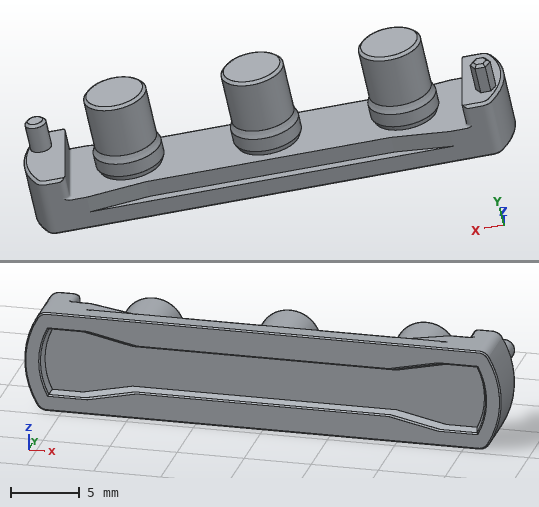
import cadquery as cq
import math

length = 35.52
height = 7.65
end_radius = 6.7
corner_radius = 0.85
edge_chamfer = 0.1
web_depth = 2.55

ear_depth = 4.37
ear_inner_x = 14.67
ear_corner_radius = 0.5
ear_chamfer = 0.2
ear_foot_fillet = 0.2

pocket_margin = 1.05
pocket_end_height = 5.33
pocket_waist_height = 3.73
pocket_waist_x = 9.38
pocket_flare_x = 13.07
pocket_depth = 0.65
pocket_rim_bevel = 0.1
pocket_wall_inset = 0.32
pocket_bend_lean = 0.45

relief_depth = 0.7
relief_front_y = 1.3
relief_outer_x = 13.43
relief_inner_x = 9.05

post_pitch = 10.15
post_top_y = 8.63
post_radius = 2.3
post_tip_chamfer = 0.2
collar_radius = 2.52
collar_start_y = 3.0
collar_end_y = 4.0
collar_shoulder_radius = 2.4
collar_shoulder_y = 4.25
collar_taper_end_y = 4.58

pin_top_y = 6.6
pin_x = 16.45
pin_z = 1.55
pin_radius = 0.78
hex_pin_radius = 0.75
pin_tip_chamfer = 0.2


def arc_sagitta(radius, half_chord):
    return radius - math.sqrt(radius**2 - half_chord**2)


def front_plane(y):
    """Sketch plane at depth y; a negative extrude runs towards +Y."""
    return cq.Workplane("XZ", origin=(0, y, 0))


def bar(depth):
    half_height = height / 2
    corner_x = length / 2 - arc_sagitta(end_radius, half_height)
    return (
        front_plane(0)
        .moveTo(-corner_x, half_height)
        .lineTo(corner_x, half_height)
        .threePointArc((length / 2, 0), (corner_x, -half_height))
        .lineTo(-corner_x, -half_height)
        .threePointArc((-length / 2, 0), (-corner_x, half_height))
        .close()
        .extrude(-depth)
        .edges("|Y")
        .fillet(corner_radius)
    )


def ear_block(side):
    """Block with rounded inner edges; its outer end reaches past the bar."""
    block_width = length / 2
    return (
        front_plane(0)
        .center(side * (ear_inner_x + block_width / 2), 0)
        .rect(block_width, height)
        .extrude(-ear_depth)
        .edges("|Y")
        .edges("<X" if side > 0 else ">X")
        .fillet(ear_corner_radius)
    )


def ear_foot_edges(side):
    reach = 2 * ear_corner_radius
    return cq.selectors.BoxSelector(
        (side * (ear_inner_x - reach), web_depth - edge_chamfer, -height),
        (side * (ear_inner_x + reach), web_depth + edge_chamfer, height),
    )


def stepped_bar():
    """Thin web between two ears, trimmed to the chamfered bar."""
    envelope = bar(ear_depth).faces("<Y").chamfer(edge_chamfer)
    envelope = envelope.faces(">Y").chamfer(ear_chamfer)
    stepped = front_plane(0).rect(2 * length, 2 * height).extrude(-web_depth)
    for side in (-1, 1):
        stepped = stepped.union(ear_block(side))
        stepped = stepped.edges(ear_foot_edges(side)).fillet(ear_foot_fillet)
    return envelope.intersect(stepped)


def pocket_outline(y, inset):
    end_z = pocket_end_height / 2 - inset
    waist_z = pocket_waist_height / 2 - inset
    lean = pocket_bend_lean * inset / pocket_wall_inset
    flare_x = pocket_flare_x + lean
    waist_x = pocket_waist_x + lean
    arc_radius = end_radius - pocket_margin - inset
    tip_x = length / 2 - pocket_margin - inset
    corner_x = tip_x - arc_sagitta(arc_radius, end_z)
    return (
        front_plane(y)
        .moveTo(-corner_x, end_z)
        .lineTo(-flare_x, end_z)
        .lineTo(-waist_x, waist_z)
        .lineTo(waist_x, waist_z)
        .lineTo(flare_x, end_z)
        .lineTo(corner_x, end_z)
        .threePointArc((tip_x, 0), (corner_x, -end_z))
        .lineTo(flare_x, -end_z)
        .lineTo(waist_x, -waist_z)
        .lineTo(-waist_x, -waist_z)
        .lineTo(-flare_x, -end_z)
        .lineTo(-corner_x, -end_z)
        .threePointArc((-tip_x, 0), (-corner_x, end_z))
        .close()
    )


def front_pocket():
    rim = pocket_outline(0, 0)
    bevel_end = pocket_outline(pocket_rim_bevel, pocket_rim_bevel)
    floor = pocket_outline(pocket_depth, pocket_wall_inset)
    wires = [outline.wires().val() for outline in (rim, bevel_end, floor)]
    return cq.Workplane(cq.Solid.makeLoft(wires, True))


def side_relief(side):
    outer_z = side * height / 2
    floor_z = outer_z - side * relief_depth
    return (
        front_plane(relief_front_y)
        .moveTo(-relief_outer_x, outer_z)
        .lineTo(-relief_inner_x, floor_z)
        .lineTo(relief_inner_x, floor_z)
        .lineTo(relief_outer_x, outer_z)
        .close()
        .extrude(relief_front_y - web_depth)
    )


def post(x):
    profile = [
        (0, web_depth),
        (post_radius, web_depth),
        (collar_radius, collar_start_y),
        (collar_radius, collar_end_y),
        (collar_shoulder_radius, collar_shoulder_y),
        (post_radius, collar_taper_end_y),
        (post_radius, post_top_y - post_tip_chamfer),
        (post_radius - post_tip_chamfer, post_top_y),
        (0, post_top_y),
    ]
    turned = cq.Workplane("XY").polyline(profile).close().revolve(360, (0, 0, 0), (0, 1, 0))
    return turned.translate((x, 0, 0))


def pin(sketch):
    return sketch.extrude(ear_depth - pin_top_y).faces(">Y").chamfer(pin_tip_chamfer)


body = stepped_bar().cut(front_pocket())
for side in (-1, 1):
    body = body.cut(side_relief(side))

for x in (-post_pitch, 0, post_pitch):
    body = body.union(post(x))

ear_back = front_plane(ear_depth)
body = body.union(pin(ear_back.center(-pin_x, -pin_z).polygon(6, 2 * hex_pin_radius)))
body = body.union(pin(ear_back.center(pin_x, pin_z).circle(pin_radius)))

result = body